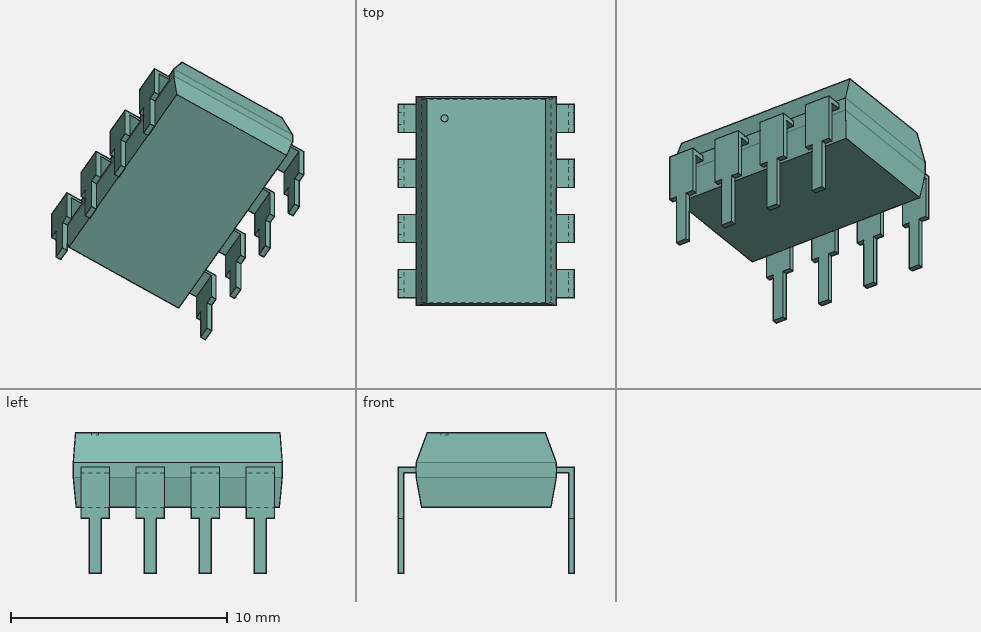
import cadquery as cq

overall_width = 8.13
overall_height = 6.48

housing_length = 9.65
housing_width = 6.475
housing_height = 3.445
band_height = 0.68
top_side_inset = 0.51
top_end_inset = 0.11
bottom_side_inset = 0.25
bottom_end_inset = 0.135

leads_per_row = 4
lead_pitch = 2.54
lead_thickness = 0.26
shoulder_width = 1.31
tip_width = 0.56
tip_length = 2.54

marker_diameter = 0.33
marker_depth = 0.1
marker_x = -1.92
marker_y = 3.81

housing_top = housing_height / 2
lead_top = lead_thickness / 2
lead_bottom = housing_top - overall_height
shoulder_bottom = lead_bottom + tip_length


def tapered_half(side_inset, end_inset, direction):
    """Half of the housing beyond the band; direction is +1 for up, -1 for down."""
    taper_height = (housing_height - band_height) / 2
    return (
        cq.Workplane("XY", origin=(0, 0, direction * band_height / 2))
        .rect(housing_width, housing_length)
        .workplane(offset=direction * taper_height)
        .rect(housing_width - 2 * side_inset, housing_length - 2 * end_inset)
        .loft(ruled=True)
    )


def make_marker():
    """Disc whose top face is flush with the top of the housing."""
    return (
        cq.Workplane("XY", origin=(marker_x, marker_y, housing_top))
        .circle(marker_diameter / 2)
        .extrude(-marker_depth)
    )


def make_housing():
    """Housing with a recess that holds the marker."""
    band = cq.Workplane("XY").box(housing_width, housing_length, band_height)
    upper_half = tapered_half(top_side_inset, top_end_inset, 1)
    lower_half = tapered_half(bottom_side_inset, bottom_end_inset, -1)
    return band.union(upper_half).union(lower_half).cut(make_marker())


def make_lead(side, y_center):
    """One lead, butted against the housing; side is -1 for the -X row, +1 for the +X row."""
    inner_x = side * housing_width / 2
    outer_x = side * overall_width / 2
    leg_inner_x = outer_x - side * lead_thickness
    shoulder = (
        cq.Workplane("XZ", origin=(0, y_center, 0))
        .moveTo(inner_x, lead_top)
        .lineTo(outer_x, lead_top)
        .lineTo(outer_x, shoulder_bottom)
        .lineTo(leg_inner_x, shoulder_bottom)
        .lineTo(leg_inner_x, -lead_top)
        .lineTo(inner_x, -lead_top)
        .close()
        .extrude(shoulder_width / 2, both=True)
    )
    tip_center = ((outer_x + leg_inner_x) / 2, y_center, lead_bottom + tip_length / 2)
    tip = cq.Workplane("XY").box(lead_thickness, tip_width, tip_length).translate(tip_center)
    return shoulder.union(tip)


housing = make_housing()
marker = make_marker()

leads = []
for side in (-1, 1):
    for index in range(leads_per_row):
        y_center = (index - (leads_per_row - 1) / 2) * lead_pitch
        leads.append(make_lead(side, y_center).val())

result = cq.Compound.makeCompound([housing.val(), marker.val(), *leads])